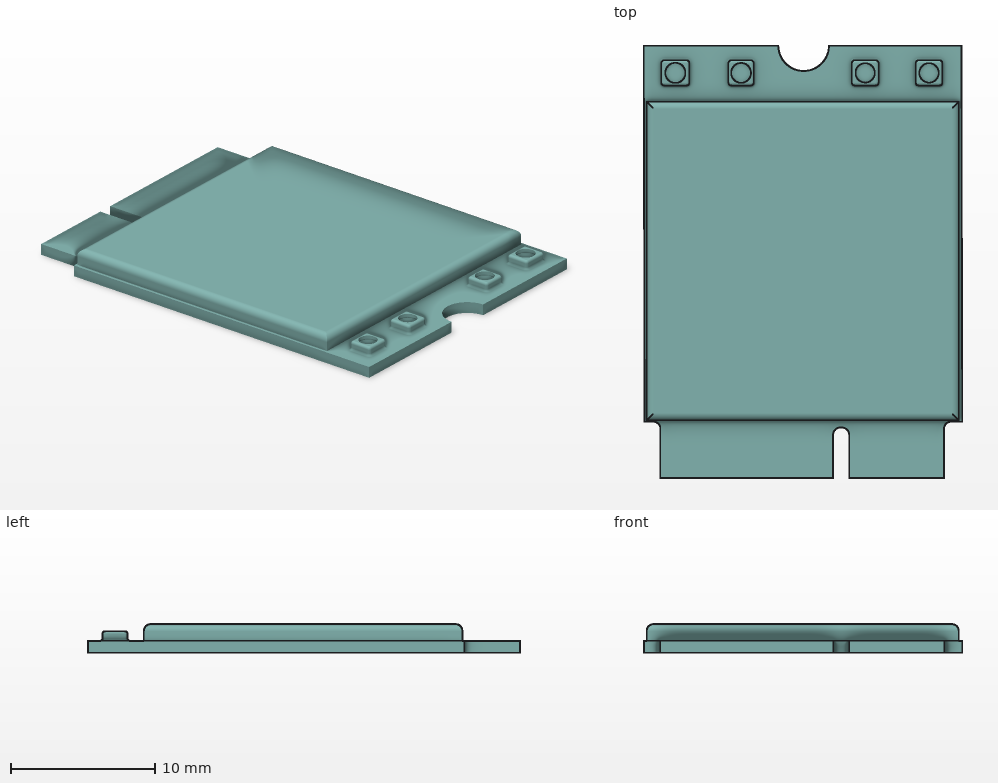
import cadquery as cq


card_length = 30.0
card_width = 22.06
card_thickness = 0.83
side_lean = 0.05
shoulder_y = 3.9
shoulder_fillet = 0.45
rear_left_x = -11.0
rear_right_x = rear_left_x + card_width

tab_left_x = -9.85
tab_right_x = 9.85
key_slot_x = 2.7
key_slot_width = 1.1
key_slot_end_y = 3.5
key_slot_fillet = 0.5

notch_x = 0.1
notch_radius = 1.75

total_height = 2.0
cover_left_x = -10.8
cover_right_x = 10.87
cover_front_y = 4.0
cover_rear_y = 26.12
cover_fillet = 0.5

connectors = [
    (-8.8, 1.95, 1.4),
    (-4.24, 1.75, 1.38),
    (4.37, 1.85, 1.34),
    (8.8, 1.85, 1.35),
]
connector_y = 28.11
connector_depth = 1.75
connector_height = 0.67
connector_edge_fillet = 0.2
connector_foot_fillet = 0.17
connector_rim_fillet = 0.195
socket_depth = 0.3


def make_card():
    """Flat card with shoulders, contact tab, key slot and mounting notch."""
    outline = [
        (rear_left_x, card_length),
        (rear_left_x + side_lean, shoulder_y),
        (tab_left_x, shoulder_y),
        (tab_left_x, 0),
        (tab_right_x, 0),
        (tab_right_x, shoulder_y),
        (rear_right_x + side_lean, shoulder_y),
        (rear_right_x, card_length),
    ]
    card = cq.Workplane("XY").polyline(outline).close().extrude(card_thickness)
    for tab_side_x in (tab_left_x, tab_right_x):
        inner_corner = cq.selectors.NearestToPointSelector((tab_side_x, shoulder_y, card_thickness / 2))
        card = card.edges("|Z").edges(inner_corner).fillet(shoulder_fillet)

    key_slot = (
        cq.Workplane("XY")
        .center(key_slot_x, 0)
        .rect(key_slot_width, 2 * key_slot_end_y)
        .extrude(card_thickness)
        .edges("|Z and >Y")
        .fillet(key_slot_fillet)
    )
    notch = cq.Workplane("XY").center(notch_x, card_length).circle(notch_radius).extrude(card_thickness)
    return card.cut(key_slot).cut(notch)


def make_cover():
    """Rectangular shield with its upper edges rounded."""
    return (
        cq.Workplane("XY", origin=(cover_left_x, cover_front_y, card_thickness))
        .rect(cover_right_x - cover_left_x, cover_rear_y - cover_front_y, centered=False)
        .extrude(total_height - card_thickness)
        .faces(">Z")
        .edges()
        .fillet(cover_fillet)
    )


def add_connector(card, center_x, width, socket_diameter):
    """Antenna connector: rounded block blended into the card, with a round blind socket on top."""
    block = (
        cq.Workplane("XY", origin=(center_x, connector_y, card_thickness))
        .rect(width, connector_depth)
        .extrude(connector_height)
        .edges("|Z")
        .fillet(connector_edge_fillet)
    )
    half_span = (width / 2 + connector_foot_fillet, connector_depth / 2 + connector_foot_fillet)
    foot = cq.selectors.BoxSelector(
        (center_x - half_span[0], connector_y - half_span[1], card_thickness - connector_foot_fillet),
        (center_x + half_span[0], connector_y + half_span[1], card_thickness + connector_foot_fillet),
    )
    rim_z = card_thickness + connector_height
    top = cq.selectors.NearestToPointSelector((center_x, connector_y, rim_z))
    joined = card.union(block)
    joined = joined.edges(foot).fillet(connector_foot_fillet)
    joined = joined.faces(top).edges().fillet(connector_rim_fillet)
    socket = (
        cq.Workplane("XY", origin=(center_x, connector_y, rim_z - socket_depth))
        .circle(socket_diameter / 2)
        .extrude(socket_depth)
    )
    return joined.cut(socket)


board = make_card()
for center_x, width, socket_diameter in connectors:
    board = add_connector(board, center_x, width, socket_diameter)

result = board.union(make_cover())